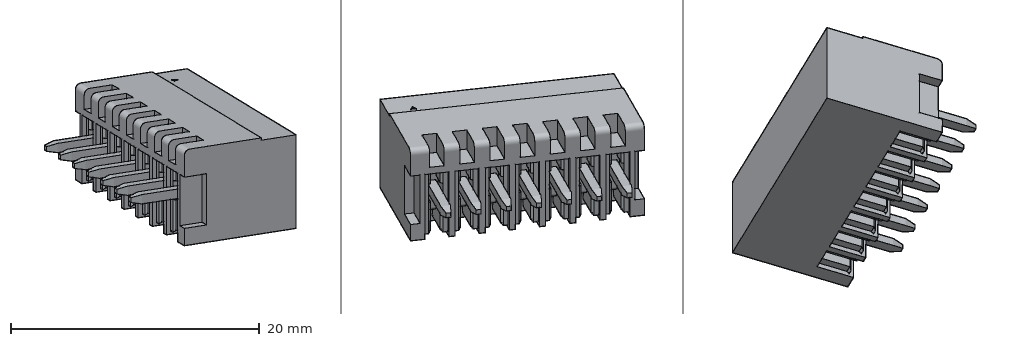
import cadquery as cq


LENGTH = 19.4
DEPTH = 10.09
HEIGHT = 8.1
EDGE_RADIUS = 0.5
STEP_DROP = 0.2
STEP_DEPTH = 3.15

PIN_COUNT = 7
PITCH = 2.5
PIN_X = [(i - (PIN_COUNT - 1) / 2) * PITCH for i in range(PIN_COUNT)]

PIN_SIZE = 0.8
PIN_TIP_SIZE = 0.4
PIN_Z = 3.85
PIN_LENGTH = 3.8
PIN_TAPER = 0.91

SLOT_WIDTH = 1.2
SLOT_DEPTH = 2.52
SLOT_HEIGHT = 1.7

END_WIDTH = 0.8
END_DEPTH = 2.0
END_BOTTOM = 1.47

POCKET_TOP = 5.8
POCKET_WIDTH = 2.0
LEDGE_Y = 0.39
CHAMFER = 0.2
MOUTH_WIDTH = 1.2
CORE_WIDTH = MOUTH_WIDTH - 2 * CHAMFER
CORE_Y = 2.0
WINDOW_HEIGHT = 1.6
LEDGE_BOTTOM = 0.27

CONVEX_RADIUS = 0.3
CONCAVE_RADIUS = 0.9
UNDERCUT_Y = CORE_Y + CONVEX_RADIUS + CONCAVE_RADIUS
UNDERCUT_BOTTOM = 0.6

MARK_WIDTH = 0.5
MARK_HEIGHT = 0.47
MARK_BACK = 2.4
MARK_ENGRAVING = 0.1


def block(x, width, y_front, y_back, z_bottom, z_top):
    """Box centred on x between the given y and z limits."""
    size = (width, y_back - y_front, z_top - z_bottom)
    solid = cq.Workplane("XY").box(*size, centered=(True, False, False))
    return solid.translate((x, y_front, z_bottom))


def make_housing():
    body = block(0, LENGTH, 0, DEPTH, 0, HEIGHT)
    body = body.edges("|X and <Y and >Z").fillet(EDGE_RADIUS)
    return body.cut(block(0, LENGTH, DEPTH - STEP_DEPTH, DEPTH, HEIGHT - STEP_DROP, HEIGHT))


def make_pocket():
    """Empty space around one pin, centred on x = 0."""
    pocket = block(0, POCKET_WIDTH, 0, LEDGE_Y, 0, POCKET_TOP)

    mouth_points = [
        (-MOUTH_WIDTH / 2, LEDGE_Y),
        (MOUTH_WIDTH / 2, LEDGE_Y),
        (CORE_WIDTH / 2, LEDGE_Y + CHAMFER),
        (-CORE_WIDTH / 2, LEDGE_Y + CHAMFER),
    ]
    mouth = cq.Workplane("XY").polyline(mouth_points).close().extrude(POCKET_TOP)
    core = block(0, CORE_WIDTH, LEDGE_Y, CORE_Y, 0, POCKET_TOP)
    window = block(0, MOUTH_WIDTH, LEDGE_Y, CORE_Y, PIN_Z - WINDOW_HEIGHT / 2, PIN_Z + WINDOW_HEIGHT / 2)

    bend_z = UNDERCUT_BOTTOM + CONCAVE_RADIUS
    undercut = (
        cq.Workplane("YZ")
        .moveTo(CORE_Y, 0)
        .lineTo(CORE_Y, bend_z + CONVEX_RADIUS)
        .radiusArc((CORE_Y + CONVEX_RADIUS, bend_z), -CONVEX_RADIUS)
        .radiusArc((UNDERCUT_Y, UNDERCUT_BOTTOM), CONCAVE_RADIUS)
        .lineTo(UNDERCUT_Y, 0)
        .close()
        .extrude(CORE_WIDTH / 2, both=True)
    )

    relief_points = [
        (LEDGE_Y, 0),
        (LEDGE_Y, LEDGE_BOTTOM),
        (LEDGE_Y + CHAMFER, LEDGE_BOTTOM + CHAMFER),
        (UNDERCUT_Y, LEDGE_BOTTOM + CHAMFER),
        (UNDERCUT_Y, 0),
    ]
    relief = cq.Workplane("YZ").polyline(relief_points).close().extrude(POCKET_WIDTH / 2, both=True)
    return pocket.union(mouth).union(core).union(window).union(undercut).union(relief)


def make_pin():
    """Square pin with a tapered tip, centred on x = 0 and rooted in the pocket's back wall."""
    shank_end = PIN_TAPER - PIN_LENGTH
    shank = block(0, PIN_SIZE, shank_end, UNDERCUT_Y, PIN_Z - PIN_SIZE / 2, PIN_Z + PIN_SIZE / 2)
    tip = (
        cq.Workplane("XZ", origin=(0, shank_end, PIN_Z))
        .rect(PIN_SIZE, PIN_SIZE)
        .workplane(offset=PIN_TAPER)
        .rect(PIN_TIP_SIZE, PIN_TIP_SIZE)
        .loft()
    )
    return shank.union(tip)


def make_mark():
    base_y = DEPTH - MARK_BACK
    return (
        cq.Workplane("XY", origin=(PIN_X[0], base_y, HEIGHT - STEP_DROP - MARK_ENGRAVING))
        .polyline([(-MARK_WIDTH / 2, 0), (MARK_WIDTH / 2, 0), (0, MARK_HEIGHT)])
        .close()
        .extrude(MARK_ENGRAVING)
    )


result = make_housing().cut(make_mark())

for side in (-1, 1):
    end_x = side * (LENGTH - END_WIDTH) / 2
    result = result.cut(block(end_x, END_WIDTH, 0, END_DEPTH, END_BOTTOM, POCKET_TOP))

pocket = make_pocket()
pin = make_pin()
for x in PIN_X:
    result = result.cut(block(x, SLOT_WIDTH, 0, SLOT_DEPTH, HEIGHT - SLOT_HEIGHT, HEIGHT))
    result = result.cut(pocket.translate((x, 0, 0)))
    result = result.union(pin.translate((x, 0, 0)))